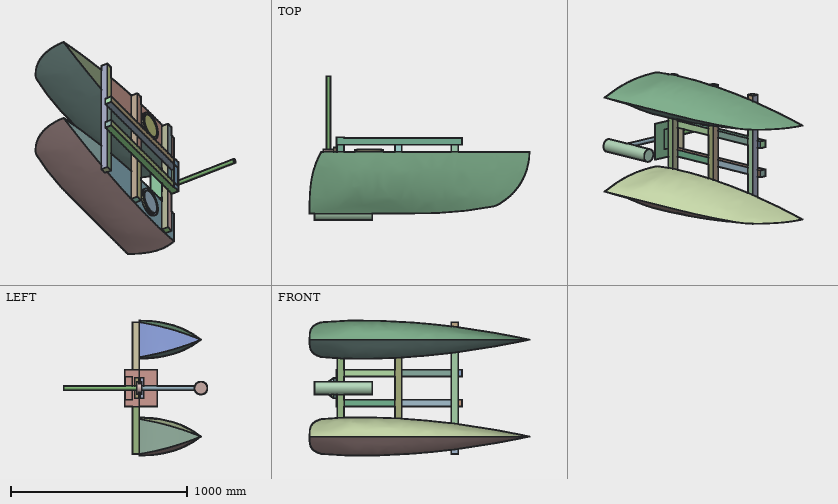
import cadquery as cq
import math


LENGTH = 1250.0
HULL_SPACING = 550.0
HULL_CENTRES = (-HULL_SPACING / 2, HULL_SPACING / 2)
MAX_HALF_BEAM = 109.78
MAX_BEAM_X = 290.0
AFT_TAPER = 2.1e-4
BOW_TAPER_POWER = 1.9
DRAFT = 350.0
FLAT_KEEL_END_X = 630.0
FORE_KEEL_RADIUS = 2150.0
STEM_RADIUS = 340.0
FOREFOOT_X = 1060.0
STERN_FULLNESS = (0.50, 0.72)
MIDSHIP_FULLNESS = (0.62, 0.98)
FILL_OUT_LENGTH = 290.0
STERN_OVERRUN = 20.0
STERN_STATIONS = (-STERN_OVERRUN, 70.0, 180.0)
MID_STATIONS = (MAX_BEAM_X, 400.0, 520.0, FLAT_KEEL_END_X, 740.0, 850.0, 950.0, 1025.0, 1050.0)
STEM_STATION_COUNT = 9
TIP_ANGLE = 7.0

TRANSOM_TOP_X = 67.0

HATCH_X = 338.5
HATCH_DIAMETER = 162.0
HATCH_RIM_HEIGHT = 12.0
LID_DIAMETER = 136.0
LID_HEIGHT = 15.0

BAR = 40.0
BEAM_LENGTH = 750.0
FIRST_BEAM_X = 157.0
BEAM_STARTS = (FIRST_BEAM_X, 485.0, 805.0)
RAIL_END_X = 867.0
RAIL_CENTRE_Z = 85.0

PLATE_THICKNESS = 4.0
PLATE_FRONT_X = FIRST_BEAM_X - PLATE_THICKNESS
PLATE_HALF_WIDTH = RAIL_CENTRE_Z + BAR / 2
PLATE_TOP_Y = 2 * BAR + PLATE_THICKNESS
PLATE_BOTTOM_Y = -102.0

MOTOR_DIAMETER = 74.28
MOTOR_START_X = 28.0
MOTOR_LENGTH = 330.0
MOTOR_Y = -DRAFT
POLE_DIAMETER = 25.0
POLE_X = 108.5
OVERALL_HEIGHT = 817.34
POLE_TOP_Y = MOTOR_Y - MOTOR_DIAMETER / 2 + OVERALL_HEIGHT

FLANGE_THICKNESS = 16.0
FLANGE_FRONT_X = PLATE_FRONT_X - FLANGE_THICKNESS
FLANGE_HEIGHT = 50.0
FLANGE_HALF_WIDTH = 58.0
COLLAR_RADIUS = 30.0
COLLAR_HEIGHT = 30.0
COLLAR_ROOT_HALF_WIDTH = 36.0
RIB_THICKNESS = 8.0


def box(x_range, y_range, z_range):
    """Box between the given limits on each axis."""
    size = [high - low for low, high in (x_range, y_range, z_range)]
    corner = (x_range[0], y_range[0], z_range[0])
    return cq.Workplane("XY").box(*size, centered=False).translate(corner)


def deck_plane(y):
    """Horizontal workplane at height y, facing up; local x is X and local y is -Z."""
    return cq.Workplane(cq.Plane(origin=(0, y, 0), xDir=(1, 0, 0), normal=(0, 1, 0)))


def half_beam(x):
    """Half width of the hull at deck level."""
    if x < MAX_BEAM_X:
        return MAX_HALF_BEAM - AFT_TAPER * (MAX_BEAM_X - x) ** 2
    forward = (x - MAX_BEAM_X) / (LENGTH - MAX_BEAM_X)
    return MAX_HALF_BEAM * (1 - forward ** BOW_TAPER_POWER)


def keel_depth(x):
    """Depth of the keel line: flat aft, then a shallow arc, then the stem arc."""
    if x <= FLAT_KEEL_END_X:
        return DRAFT
    if x < FOREFOOT_X:
        run = x - FLAT_KEEL_END_X
        return DRAFT - FORE_KEEL_RADIUS + math.sqrt(FORE_KEEL_RADIUS ** 2 - run ** 2)
    run = x - (LENGTH - STEM_RADIUS)
    return math.sqrt(STEM_RADIUS ** 2 - run ** 2)


def side_fullness(x):
    """Depth and half beam fractions of the side control point at station x."""
    rise = min(max(x, 0) / FILL_OUT_LENGTH, 1)
    blend = rise * rise * (3 - 2 * rise)
    return [aft + (mid - aft) * blend for aft, mid in zip(STERN_FULLNESS, MIDSHIP_FULLNESS)]


def hull_section(x):
    """Closed section at station x: a flat deck and two curved sides meeting at the keel."""
    width = half_beam(x)
    depth = keel_depth(x)
    depth_fraction, width_fraction = side_fullness(x)
    control_y = -depth * depth_fraction
    control_z = width * width_fraction
    starboard = cq.Vector(x, 0, width)
    port = cq.Vector(x, 0, -width)
    keel = cq.Vector(x, -depth, 0)
    return cq.Wire.assembleEdges([
        cq.Edge.makeBezier([starboard, cq.Vector(x, control_y, control_z), keel]),
        cq.Edge.makeBezier([keel, cq.Vector(x, control_y, -control_z), port]),
        cq.Edge.makeLine(port, starboard),
    ])


def stem_stations():
    """Stations spaced evenly by angle along the stem arc, from the forefoot to near the tip."""
    centre_x = LENGTH - STEM_RADIUS
    forefoot_angle = math.degrees(math.acos((FOREFOOT_X - centre_x) / STEM_RADIUS))
    step = (forefoot_angle - TIP_ANGLE) / (STEM_STATION_COUNT - 1)
    angles = [forefoot_angle - step * i for i in range(STEM_STATION_COUNT)]
    return [centre_x + STEM_RADIUS * math.cos(math.radians(angle)) for angle in angles]


def make_hull():
    """One hull on the centreplane, lofted from stern to bow and trimmed to the transom curve."""
    stations = [*STERN_STATIONS, *MID_STATIONS, *stem_stations()]
    sections = [hull_section(x) for x in stations]
    tip = cq.Vertex.makeVertex(LENGTH, 0, 0)
    loft = cq.occ_impl.shapes.loft
    body = cq.Workplane(obj=loft(*sections, tip, cap=True, parametrization="chordal", compat=False))

    transom_curve = [(TRANSOM_TOP_X, 0), (0, -DRAFT / 3), (0, -2 * DRAFT / 3), (0, -DRAFT)]
    behind = -2 * STERN_OVERRUN
    stern_waste = (
        cq.Workplane("XY", origin=(0, 0, -2 * MAX_HALF_BEAM))
        .bezier(transom_curve)
        .lineTo(0, -2 * DRAFT)
        .lineTo(behind, -2 * DRAFT)
        .lineTo(behind, DRAFT)
        .lineTo(TRANSOM_TOP_X, DRAFT)
        .close()
        .extrude(4 * MAX_HALF_BEAM)
    )
    return body.cut(stern_waste)


def make_hatch():
    """Round deck hatch on the centreplane: a rim with a raised lid."""
    rim = deck_plane(0).center(HATCH_X, 0).circle(HATCH_DIAMETER / 2).extrude(HATCH_RIM_HEIGHT)
    lid = deck_plane(0).center(HATCH_X, 0).circle(LID_DIAMETER / 2).extrude(LID_HEIGHT)
    return rim.union(lid)


def make_frame():
    """Three cross beams on the decks, with two rails along the top of them."""
    half_length = BEAM_LENGTH / 2
    bars = [box((x, x + BAR), (0, BAR), (-half_length, half_length)) for x in BEAM_STARTS]
    for centre in (-RAIL_CENTRE_Z, RAIL_CENTRE_Z):
        rail_z = (centre - BAR / 2, centre + BAR / 2)
        bars.append(box((FIRST_BEAM_X, RAIL_END_X), (BAR, 2 * BAR), rail_z))
    return bars


def make_transom_plate():
    """Upright plate behind the first beam, with a lip folded over the rails."""
    width = (-PLATE_HALF_WIDTH, PLATE_HALF_WIDTH)
    upright = box((PLATE_FRONT_X, FIRST_BEAM_X), (PLATE_BOTTOM_Y, PLATE_TOP_Y), width)
    lip = box((PLATE_FRONT_X, FIRST_BEAM_X + BAR), (2 * BAR, PLATE_TOP_Y), width)
    return upright.union(lip)


def make_bracket():
    """Pole bracket: a flange, a collar on a flared root, and a rib tangent to the collar."""
    flange = box(
        (FLANGE_FRONT_X, PLATE_FRONT_X),
        (-FLANGE_HEIGHT / 2, FLANGE_HEIGHT / 2),
        (-FLANGE_HALF_WIDTH, FLANGE_HALF_WIDTH),
    )
    collar_plane = deck_plane(-COLLAR_HEIGHT / 2)
    collar = collar_plane.center(POLE_X, 0).circle(COLLAR_RADIUS).extrude(COLLAR_HEIGHT)
    root = collar_plane.polyline([
        (POLE_X, -COLLAR_RADIUS),
        (FLANGE_FRONT_X, -COLLAR_ROOT_HALF_WIDTH),
        (FLANGE_FRONT_X, COLLAR_ROOT_HALF_WIDTH),
        (POLE_X, COLLAR_RADIUS),
    ]).close().extrude(COLLAR_HEIGHT)

    reach = FLANGE_FRONT_X - POLE_X
    corner_distance = math.hypot(reach, FLANGE_HALF_WIDTH)
    corner_angle = math.atan2(FLANGE_HALF_WIDTH, reach)
    tangent_angle = corner_angle + math.acos(COLLAR_RADIUS / corner_distance)
    tangent_x = POLE_X + COLLAR_RADIUS * math.cos(tangent_angle)
    tangent_z = COLLAR_RADIUS * math.sin(tangent_angle)
    rib = deck_plane(-RIB_THICKNESS / 2).polyline([
        (tangent_x, -tangent_z),
        (FLANGE_FRONT_X, -FLANGE_HALF_WIDTH),
        (FLANGE_FRONT_X, FLANGE_HALF_WIDTH),
        (tangent_x, tangent_z),
    ]).close().extrude(RIB_THICKNESS)
    return flange.union(collar).union(root).union(rib)


def make_motor():
    """Cylindrical motor along X, hung from the upright pole."""
    motor_plane = cq.Workplane("YZ", origin=(MOTOR_START_X, MOTOR_Y, 0))
    motor = motor_plane.circle(MOTOR_DIAMETER / 2).extrude(MOTOR_LENGTH)
    pole_length = POLE_TOP_Y - MOTOR_Y
    pole = deck_plane(MOTOR_Y).center(POLE_X, 0).circle(POLE_DIAMETER / 2).extrude(pole_length)
    return motor.union(pole)


hull = make_hull()
hatch = make_hatch()

result = make_transom_plate()
for bar in make_frame():
    result = result.union(bar)
result = result.union(make_bracket()).union(make_motor())
for centre_z in HULL_CENTRES:
    result = result.union(hull.translate((0, 0, centre_z)))
    result = result.union(hatch.translate((0, 0, centre_z)))